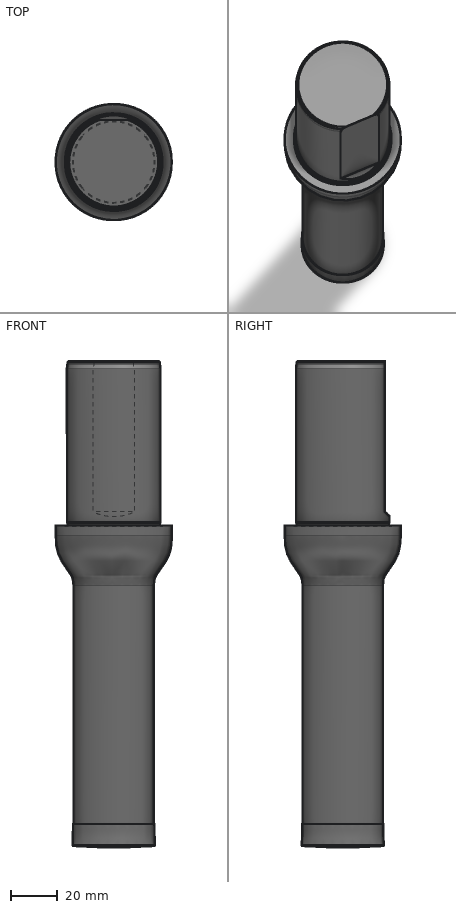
import cadquery as cq
import math

SHANK_LENGTH = 70.0
SHANK_RADIUS = 39.99 / 2
RELIEF_RADIUS = 39.5 / 2
TOP_RELIEF_LENGTH = 1.6
TOP_TAPER_LENGTH = 1.7
TOP_CHAMFER_WIDTH = 0.8
TOP_CHAMFER_HEIGHT = 0.8
ROOT_RELIEF_LENGTH = 1.0
ROOT_TAPER_LENGTH = 0.5

FLAT_OFFSET = 17.9
FLAT_RAMP_ANGLE = 45.0
FLAT_END_HEIGHT = 5.8

COLLAR_RADIUS = 49.5 / 2
COLLAR_RIM_HEIGHT = 4.4
ROOT_GROOVE_RADIUS = 20.8
ROOT_GROOVE_DEPTH = 0.5

BULGE_RADIUS = 23.4
BULGE_Z = -12.75
BLEND_RADIUS = 18.8
BLEND_Z = -20.1
NECK_TOP_Z = -25.6

NECK_RADIUS = 34.3 / 2
TOTAL_LENGTH = 207.0
HEAD_LENGTH = 10.0
HEAD_RADIUS = 17.55
HEAD_TOP_RADIUS = 17.35
HEAD_EDGE_BEVEL = 0.4
POINT_HEIGHT = 0.5
POINT_FLAT_RADIUS = 6.5

POINT_Z = SHANK_LENGTH - TOTAL_LENGTH
HEAD_TOP_Z = POINT_Z + HEAD_LENGTH


def make_body():
    """Shank, collar and neck turned as one profile, with the clamping flat cut away."""
    relief_z = SHANK_LENGTH - TOP_RELIEF_LENGTH
    turned = (
        cq.Workplane("XZ")
        .moveTo(0, SHANK_LENGTH)
        .lineTo(RELIEF_RADIUS - TOP_CHAMFER_WIDTH, SHANK_LENGTH)
        .lineTo(RELIEF_RADIUS, SHANK_LENGTH - TOP_CHAMFER_HEIGHT)
        .lineTo(RELIEF_RADIUS, relief_z)
        .lineTo(SHANK_RADIUS, relief_z - TOP_TAPER_LENGTH)
        .lineTo(SHANK_RADIUS, ROOT_RELIEF_LENGTH + ROOT_TAPER_LENGTH)
        .lineTo(RELIEF_RADIUS, ROOT_RELIEF_LENGTH)
        .lineTo(RELIEF_RADIUS, -ROOT_GROOVE_DEPTH)
        .lineTo(ROOT_GROOVE_RADIUS, -ROOT_GROOVE_DEPTH)
        .lineTo(ROOT_GROOVE_RADIUS, 0)
        .lineTo(COLLAR_RADIUS, 0)
        .lineTo(COLLAR_RADIUS, -COLLAR_RIM_HEIGHT)
        .spline(
            [(BULGE_RADIUS, BULGE_Z), (BLEND_RADIUS, BLEND_Z), (NECK_RADIUS, NECK_TOP_Z)],
            tangents=[(0, -1), (0, -1)],
            includeCurrent=True,
        )
        .lineTo(NECK_RADIUS, HEAD_TOP_Z)
        .lineTo(0, HEAD_TOP_Z)
        .close()
        .revolve(360, (0, 0, 0), (0, 1, 0))
    )
    return turned.cut(make_flat_cutter())


def make_flat_cutter():
    """Block beyond the flat, its lower end sloped as the run-out ramp."""
    outer_y = ROOT_GROOVE_RADIUS
    ramp_drop = (outer_y - FLAT_OFFSET) / math.tan(math.radians(FLAT_RAMP_ANGLE))
    return (
        cq.Workplane("YZ")
        .moveTo(FLAT_OFFSET, SHANK_LENGTH)
        .lineTo(FLAT_OFFSET, FLAT_END_HEIGHT)
        .lineTo(outer_y, FLAT_END_HEIGHT - ramp_drop)
        .lineTo(outer_y, SHANK_LENGTH)
        .close()
        .extrude(COLLAR_RADIUS, both=True)
    )


def make_head():
    """Cutting head, slightly flared, with a bevelled edge and a shallow cone ending in a flat."""
    edge_z = POINT_Z + POINT_HEIGHT
    return (
        cq.Workplane("XZ")
        .moveTo(0, HEAD_TOP_Z)
        .lineTo(HEAD_TOP_RADIUS, HEAD_TOP_Z)
        .lineTo(HEAD_RADIUS, edge_z + HEAD_EDGE_BEVEL)
        .lineTo(HEAD_RADIUS - HEAD_EDGE_BEVEL, edge_z)
        .lineTo(POINT_FLAT_RADIUS, POINT_Z)
        .lineTo(0, POINT_Z)
        .close()
        .revolve(360, (0, 0, 0), (0, 1, 0))
    )


body = make_body()
head = make_head()
result = cq.Compound.makeCompound([body.val(), head.val()])